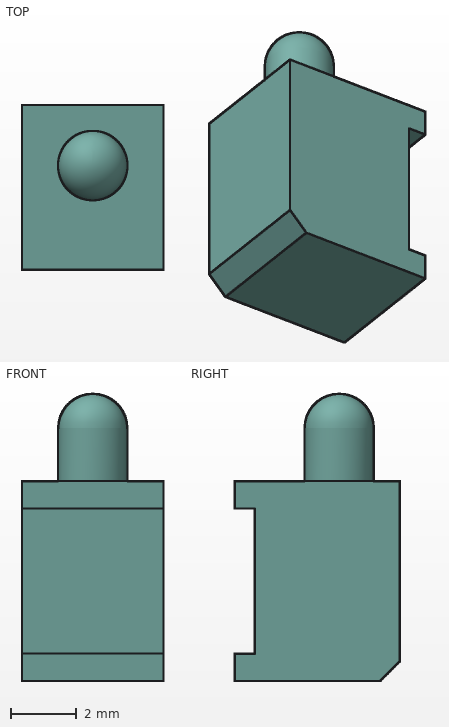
import cadquery as cq

WIDTH = 4.32
DEPTH = 5.03
TOTAL_HEIGHT = 8.76

HOUSING_HEIGHT = 6.1
FLANGE_THICKNESS = 0.84
RECESS_DEPTH = 0.605
CHAMFER = 0.605

PIN_DIAMETER = 2.12
PIN_RADIUS = PIN_DIAMETER / 2
PIN_TO_BACK = 1.85
PIN_Y = DEPTH / 2 - PIN_TO_BACK


def make_housing():
    """Block with a front recess between two flanges and a chamfered lower back edge."""
    front = -DEPTH / 2
    back = DEPTH / 2
    recess_floor = front + RECESS_DEPTH
    recess_top = HOUSING_HEIGHT - FLANGE_THICKNESS
    profile = [
        (front, 0),
        (back - CHAMFER, 0),
        (back, CHAMFER),
        (back, HOUSING_HEIGHT),
        (front, HOUSING_HEIGHT),
        (front, recess_top),
        (recess_floor, recess_top),
        (recess_floor, FLANGE_THICKNESS),
        (front, FLANGE_THICKNESS),
    ]
    return cq.Workplane("YZ").polyline(profile).close().extrude(WIDTH / 2, both=True)


def make_pin():
    """Cylinder with a hemispherical tip, standing on the housing's top face."""
    shoulder = TOTAL_HEIGHT - PIN_RADIUS
    return (
        cq.Workplane("YZ", origin=(0, PIN_Y, 0))
        .moveTo(0, HOUSING_HEIGHT)
        .lineTo(PIN_RADIUS, HOUSING_HEIGHT)
        .lineTo(PIN_RADIUS, shoulder)
        .radiusArc((0, TOTAL_HEIGHT), -PIN_RADIUS)
        .close()
        .revolve(360, (0, 0), (0, 1))
    )


housing = make_housing()
pin = make_pin()

result = cq.Compound.makeCompound([housing.val(), pin.val()])